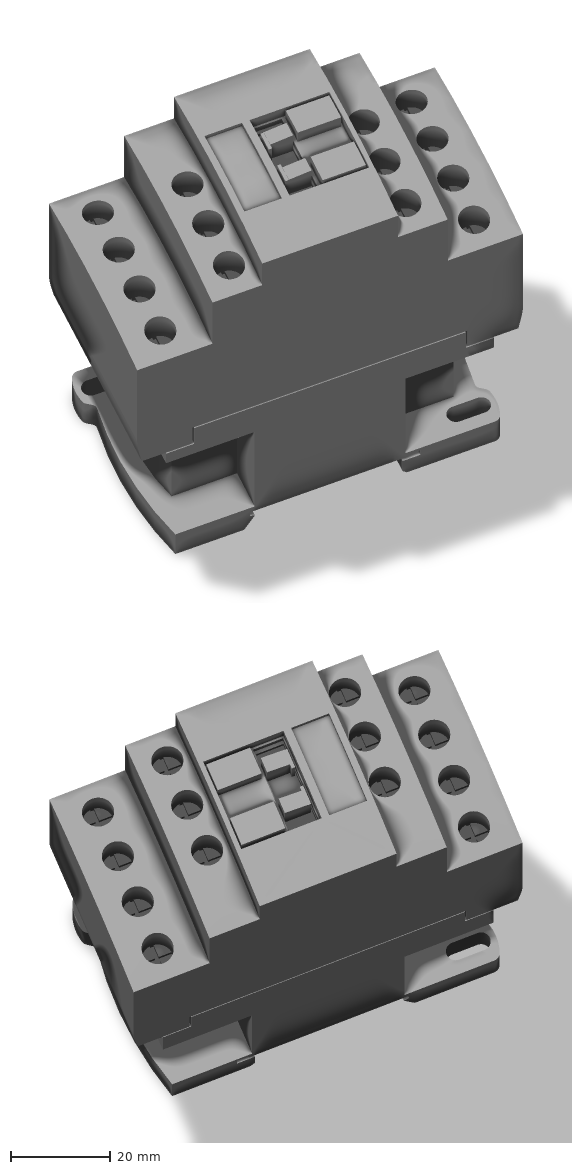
import cadquery as cq
import math

width = 44.8
length = 84.8
height = 92.6
half_width = width / 2

arch_rise = 1.85
main_top = 70.8
middle_top = 85.1
middle_length = 51.7
crown_length = 29.8
housing_bottom = 36.6
chin_inset = 1.0
chin_arc_inset = 0.42
chin_arc_top = 44.2
chin_arc_bottom = 39.8

joint_gap = 0.4
channel_length = 60.4
channel_top = 42.1

screw_pitch = 10.6
outer_row_columns = (-1.5, -0.5, 0.5, 1.5)
inner_row_columns = (-0.5, 0.5, 1.5)
outer_row_y = 34.5
inner_row_y = 19.4
well_diameter = 6.5
well_depth = 7.4
cross_width = 0.8
cross_depth = 0.9

window_width = 20.3
window_back = 13.9
window_front = -3.6
window_floor = 89.4
tile_width = 6.1
tile_offset = 6.3
tile_back = 13.5
tile_front = 4.0
shelf_width = 19.45
shelf_back = 3.2
shelf_front = -3.3
shelf_floor = 88
pit_width = 18.1
pit_back = 2.9
pit_front = -3.15
pit_floor = 87.1
button_inner = 3.1
button_outer = 6.4
button_front = -2.1
button_back_top = 92.5
button_front_top = 92.1
toe_inner = 2.1
toe_front = -2.9
toe_top = 92.0
label_back = -5.3
label_front = -13.5
label_depth = 1.1

flange_length = 72.1
flange_bottom = 29.1
block_length = 33.2
block_bottom = 5.4
column_width = 27.0
column_edge_y = 30.9
column_bulge = 2.0
notch_top = 32.9

foot_height = 6.9
foot_edge_y = 34.0
foot_bulge = 3.1
ear_center_x = -17.6
ear_arc_radius = 10.2
ear_tip_y = 38.5
ear_wall_x = -14.6
ear_root_x = -12.6
ear_root_y = 35.4
ear_corner_radius = 1.85
ear_end_radius = 1.6
ear_root_radius = 1.3
ear_slot_y = 32.5
ear_slot_length = 9.45
ear_slot_width = 3.9


def box(x_min, x_max, y_min, y_max, z_min, z_max):
    """Axis-aligned block between the given limits."""
    return cq.Workplane("XY").box(
        x_max - x_min, y_max - y_min, z_max - z_min, centered=False
    ).translate((x_min, y_min, z_min))


def centered_block(x_size, y_size, z_min, z_max):
    """Block centred on the Z axis."""
    return box(-x_size / 2, x_size / 2, -y_size / 2, y_size / 2, z_min, z_max)


def arched_tier(y_size, bottom, top):
    """Full-width block whose top is an arch that peaks on the YZ plane."""
    spring = top - arch_rise
    return (
        cq.Workplane("XZ")
        .moveTo(-half_width, bottom)
        .lineTo(half_width, bottom)
        .lineTo(half_width, spring)
        .threePointArc((0, top), (-half_width, spring))
        .close()
        .extrude(y_size / 2, both=True)
    )


def chin_profile():
    """Side outline of the main tier, tapering inward at the bottom of both ends."""
    half = length / 2
    arc_end = half - chin_arc_inset
    arc_middle = (half - chin_arc_inset / 4, (chin_arc_top + chin_arc_bottom) / 2)
    chin = half - chin_inset
    return (
        cq.Workplane("YZ")
        .moveTo(-chin, housing_bottom)
        .lineTo(chin, housing_bottom)
        .lineTo(arc_end, chin_arc_bottom)
        .threePointArc(arc_middle, (half, chin_arc_top))
        .lineTo(half, height)
        .lineTo(-half, height)
        .lineTo(-half, chin_arc_top)
        .threePointArc((-arc_middle[0], arc_middle[1]), (-arc_end, chin_arc_bottom))
        .close()
        .extrude(half_width, both=True)
    )


def screw_well(x, y, top):
    """Round well with a cross-shaped driver slot in its floor."""
    well = cq.Workplane("XY").circle(well_diameter / 2).extrude(-well_depth - cross_depth)
    quadrant_center = (well_diameter + cross_width) / 2
    quadrants = (
        cq.Workplane("XY", origin=(0, 0, -well_depth))
        .rect(2 * quadrant_center, 2 * quadrant_center, forConstruction=True)
        .vertices()
        .rect(well_diameter, well_diameter)
        .extrude(-cross_depth)
    )
    return well.cut(quadrants).translate((x, y, top))


def cut_screw_wells(body):
    rows = (
        (outer_row_y, main_top, outer_row_columns),
        (inner_row_y, middle_top, inner_row_columns),
    )
    for row_y, top, columns in rows:
        for column in columns:
            for side in (-1, 1):
                body = body.cut(screw_well(column * screw_pitch, side * row_y, top))
    return body


def mirrored_pair(shape):
    """The shape together with its mirror image across the YZ plane."""
    return shape.union(shape.mirror("YZ"))


def cut_indicator_window(body, crown):
    """Sink the window in steps, then put back its tiles and push buttons."""
    half_window = window_width / 2
    body = body.cut(box(-half_window, half_window, window_front, window_back, window_floor, height))
    body = body.cut(
        box(-shelf_width / 2, shelf_width / 2, shelf_front, shelf_back, shelf_floor, height)
    )
    body = body.cut(box(-pit_width / 2, pit_width / 2, pit_front, pit_back, pit_floor, height))

    tile = box(
        tile_offset - tile_width / 2, tile_offset + tile_width / 2,
        tile_front, tile_back, window_floor, height,
    ).intersect(crown)
    button = (
        cq.Workplane("YZ", origin=(button_inner, 0, 0))
        .moveTo(button_front, pit_floor)
        .lineTo(pit_back, pit_floor)
        .lineTo(pit_back, button_back_top)
        .lineTo(button_front, button_front_top)
        .close()
        .extrude(button_outer - button_inner)
    )
    toe = box(toe_inner, button_outer, toe_front, button_front, pit_floor, toe_top)
    body = body.union(mirrored_pair(tile))
    return body.union(mirrored_pair(button.union(toe)))


def cut_label_recess(body):
    """Shallow recess for a label, with a floor parallel to the arched top."""
    opening = box(-window_width / 2, window_width / 2, label_front, label_back, housing_bottom, height)
    below_floor = arched_tier(crown_length, housing_bottom, height - label_depth)
    return body.cut(opening.cut(below_floor))


def make_housing():
    main = arched_tier(length, housing_bottom, main_top).intersect(chin_profile())
    middle = arched_tier(middle_length, channel_top, middle_top)
    crown = arched_tier(crown_length, channel_top, height)
    body = main.cut(centered_block(width, channel_length, housing_bottom, channel_top))
    body = body.union(middle).union(crown)
    body = cut_screw_wells(body)
    body = cut_indicator_window(body, crown)
    return cut_label_recess(body)


def bulged_plate(x_size, edge_y, bulge, z_min, z_max):
    """Plate from the XZ plane to a convex front edge on the -Y side."""
    half = x_size / 2
    return (
        cq.Workplane("XY", origin=(0, 0, z_min))
        .moveTo(-half, 0)
        .lineTo(-half, -edge_y)
        .threePointArc((0, -edge_y - bulge), (half, -edge_y))
        .lineTo(half, 0)
        .close()
        .extrude(z_max - z_min)
    )


def ear_arc_point(x):
    """Point on the convex end of the mounting ear."""
    drop = ear_arc_radius - math.sqrt(ear_arc_radius**2 - (x - ear_center_x) ** 2)
    return (x, drop - ear_tip_y)


def make_ear():
    """Mounting ear at the -X end of the -Y foot, with rounded corners."""
    ear = (
        cq.Workplane("XY")
        .moveTo(-half_width, -ear_slot_y)
        .lineTo(*ear_arc_point(-half_width))
        .threePointArc(ear_arc_point(ear_center_x), ear_arc_point(ear_wall_x))
        .lineTo(ear_root_x, -ear_root_y)
        .lineTo(ear_root_x, -ear_slot_y)
        .close()
        .extrude(foot_height)
    )
    outer_corner = cq.selectors.NearestToPointSelector((*ear_arc_point(-half_width), foot_height / 2))
    end_corner = cq.selectors.NearestToPointSelector((*ear_arc_point(ear_wall_x), foot_height / 2))
    ear = ear.edges(outer_corner).fillet(ear_corner_radius)
    return ear.edges(end_corner).fillet(ear_end_radius)


def make_foot_outline():
    """Foot as seen in plan, without its rail hook."""
    foot = bulged_plate(width, foot_edge_y, foot_bulge, 0, foot_height).union(make_ear())
    root = cq.selectors.NearestToPointSelector((ear_root_x, -foot_edge_y - foot_bulge, foot_height / 2))
    foot = foot.edges("|Z").edges(root).fillet(ear_root_radius)
    slot = (
        cq.Workplane("XY", origin=(ear_center_x, -ear_slot_y, 0))
        .slot2D(ear_slot_length, ear_slot_width, 90)
        .extrude(foot_height)
    )
    return foot.cut(slot)


def hook_section(points):
    """Side section of a foot, extruded over the full width."""
    return cq.Workplane("YZ").polyline(points).close().extrude(half_width, both=True)


def make_front_foot():
    """Foot on the -Y side, ending in a wedge-shaped rail hook."""
    section = hook_section([
        (-length / 2, 0),
        (-18.9, 0),
        (-16.5, 3.7),
        (-17.6, 4.1),
        (-17.6, block_bottom),
        (-block_length / 2, block_bottom),
        (-block_length / 2, foot_height),
        (-length / 2, foot_height),
    ])
    return make_foot_outline().intersect(section)


def make_rear_foot():
    """Foot on the +Y side, turned half a revolution, with a grooved rail hook."""
    section = hook_section([
        (length / 2, 0),
        (16.9, 0),
        (15.9, 0.9),
        (15.9, 4.4),
        (19.8, 4.4),
        (19.8, 6.1),
        (17.2, 5.7),
        (17.2, block_bottom),
        (block_length / 2, block_bottom),
        (block_length / 2, foot_height),
        (length / 2, foot_height),
    ])
    return make_foot_outline().rotate((0, 0, 0), (0, 0, 1), 180).intersect(section)


def make_base():
    tongue_top = channel_top - joint_gap
    flange_top = housing_bottom - joint_gap
    tongue = centered_block(width, channel_length - 2 * joint_gap, flange_bottom, tongue_top)
    flange = centered_block(width, flange_length, flange_bottom, flange_top)
    block = centered_block(width, block_length, block_bottom, tongue_top)
    column = bulged_plate(column_width, column_edge_y, column_bulge, block_bottom, flange_top)
    column = column.cut(centered_block(width, block_length, 0, height))
    column = column.intersect(centered_block(width, length, foot_height, flange_top))
    notch = box(
        column_width / 2, half_width, -flange_length / 2, -block_length / 2, flange_bottom, notch_top
    )
    base = tongue.union(flange).union(block)
    for end_column, end_notch in ((column, notch), (column.mirror("XZ"), notch.mirror("XZ"))):
        base = base.cut(end_notch).union(end_column)
    return base.union(make_front_foot()).union(make_rear_foot())


housing = make_housing()
base = make_base()

result = cq.Compound.makeCompound([housing.val(), base.val()])